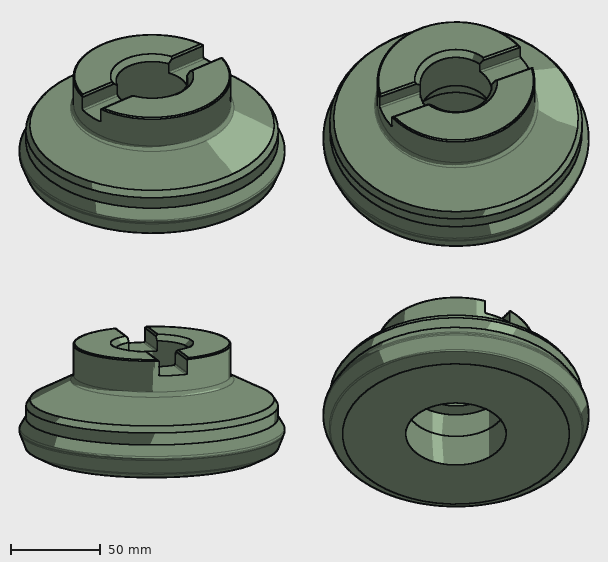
import cadquery as cq

total_height = 63.0

flange_radius = 70.5
flange_bottom = 20.3
flange_top = 27.1
shoulder_radius = 68.2
shoulder_bottom = 30.7
neck_radius = 88.0 / 2
neck_foot = 43.0
neck_fillet = 3.0
neck_chamfer = 0.7

bore_radius = 40.0 / 2
bore_chamfer_width = 3.1
bore_chamfer_depth = 3.1
counterbore_radius = 56.0 / 2
counterbore_top = 35.6

slot_width = 16.3
slot_depth = 9.2
slot_fillet = 0.9
slot_chamfer = 1.0

rim_radius = 74.2
rim_band_bottom = 12.8
rim_band_top = 14.1
rim_band_fillet = 2.2
rim_lower_fillet = 1.5
rim_lower_radius = 70.7
rim_lower_height = 3.9
rim_foot_radius = 63.3

selection_margin = 0.1


def revolve_profile(points):
    """Turn an (r, z) outline about the Z axis."""
    return cq.Workplane("XZ").polyline(points).close().revolve(360, (0, 0, 0), (0, 1, 0))


def circular_edge(body, radius, height):
    """Select the circular edge of the given radius lying at the given height."""
    reach = radius + selection_margin
    box = cq.selectors.BoxSelector(
        (-reach, -reach, height - selection_margin),
        (reach, reach, height + selection_margin),
        boundingbox=True,
    )
    return body.edges(box).edges("%CIRCLE").edges(cq.selectors.RadiusNthSelector(-1))


def make_hub_blank():
    outline = [
        (0, flange_bottom),
        (flange_radius, flange_bottom),
        (flange_radius, flange_top),
        (shoulder_radius, shoulder_bottom),
        (neck_radius, neck_foot),
        (neck_radius, total_height),
        (0, total_height),
    ]
    blank = revolve_profile(outline)
    blank = circular_edge(blank, neck_radius, neck_foot).fillet(neck_fillet)
    return blank.faces(">Z").edges().chamfer(neck_chamfer)


def make_bore():
    chamfer_bottom = total_height - bore_chamfer_depth
    outline = [
        (0, flange_bottom),
        (counterbore_radius, flange_bottom),
        (counterbore_radius, counterbore_top),
        (bore_radius, counterbore_top),
        (bore_radius, chamfer_bottom),
        (bore_radius + bore_chamfer_width, total_height),
        (0, total_height),
    ]
    return revolve_profile(outline)


def make_slot():
    """Slot cutter with rounded floor corners and bevelled mouth."""
    half_width = slot_width / 2
    slot_floor = total_height - slot_depth
    length = 2 * flange_radius
    channel = (
        cq.Workplane("XY")
        .box(slot_width, length, slot_depth, centered=(True, True, False))
        .translate((0, 0, slot_floor))
        .edges("|Y and <Z")
        .fillet(slot_fillet)
    )
    mouth = (
        cq.Workplane("XZ")
        .polyline([
            (-half_width, total_height - slot_chamfer),
            (half_width, total_height - slot_chamfer),
            (half_width + slot_chamfer, total_height),
            (-half_width - slot_chamfer, total_height),
        ])
        .close()
        .extrude(length / 2, both=True)
    )
    return channel.union(mouth)


def make_hub():
    return make_hub_blank().cut(make_bore()).cut(make_slot())


def make_rim():
    """Ring with a bulging outer side, seated against the flange underside."""
    outline = [
        (counterbore_radius, 0),
        (rim_foot_radius, 0),
        (rim_lower_radius, rim_lower_height),
        (rim_radius, rim_band_bottom),
        (rim_radius, rim_band_top),
        (flange_radius, flange_bottom),
        (counterbore_radius, flange_bottom),
    ]
    ring = revolve_profile(outline)
    band_edges = circular_edge(ring, rim_radius, rim_band_bottom).add(
        circular_edge(ring, rim_radius, rim_band_top)
    )
    ring = band_edges.fillet(rim_band_fillet)
    return circular_edge(ring, rim_lower_radius, rim_lower_height).fillet(rim_lower_fillet)


hub = make_hub()
rim = make_rim()

result = cq.Compound.makeCompound([hub.val(), rim.val()])